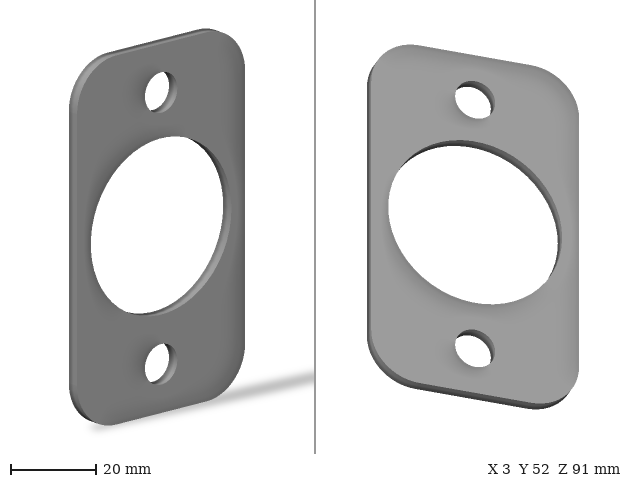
import cadquery as cq

thickness = 3.0
width = 52.0
height = 91.0
corner_radius = 12.0

opening_diameter = 43.5
opening_offset = 0.5

mounting_hole_diameter = 10.0
mounting_hole_spacing = 67.0


def rounded_plate():
    plate = cq.Workplane("YZ").rect(width, height).extrude(thickness / 2, both=True)
    return plate.edges("|X").fillet(corner_radius)


def through_hole(diameter, z):
    """Cylinder along X that passes through the full plate thickness."""
    return cq.Workplane("YZ").center(0, z).circle(diameter / 2).extrude(thickness / 2, both=True)


result = rounded_plate().cut(through_hole(opening_diameter, opening_offset))
for side in (-1, 1):
    hole_z = side * mounting_hole_spacing / 2
    result = result.cut(through_hole(mounting_hole_diameter, hole_z))